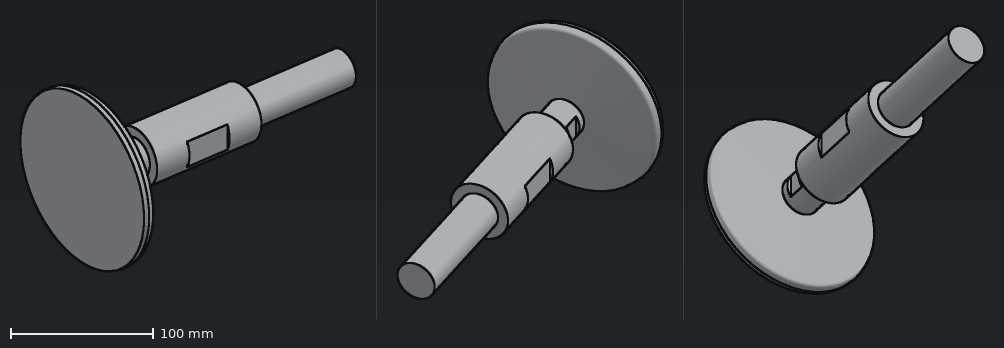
import cadquery as cq

total_length = 238.0

disc_diameter = 138.0
rim_draft = 0.7
widest_y = 4.0
rim_top_y = 7.1
cone_edge_y = 10.0
cone_edge_inset = 3.0
cone_top_y = 18.8

spindle_diameter = 30.0
spindle_flats_width = 24.0
spindle_flats_start = 25.2
spindle_flats_end = 40.0

sleeve_diameter = 46.0
sleeve_start = 49.5
sleeve_end = 145.0
sleeve_flats_width = 41.0
sleeve_flats_start = 79.0
sleeve_flats_end = 115.7


def cylinder(diameter, start_y, end_y):
    """Cylinder on the Y axis between two stations."""
    base = cq.Workplane("XZ", origin=(0, start_y, 0))
    return base.circle(diameter / 2).extrude(start_y - end_y)


def cut_wrench_flats(body, diameter, across_flats, start_y, end_y):
    """Cut a pair of flats facing -X and +X into a round body."""
    depth = (diameter - across_flats) / 2
    middle_y = (start_y + end_y) / 2
    for side in (-1, 1):
        cutter = cq.Workplane("XY").box(2 * depth, end_y - start_y, diameter)
        body = body.cut(cutter.translate((side * diameter / 2, middle_y, 0)))
    return body


def make_disc():
    """Conical disc with a slightly bulged rim and a rounded upper edge."""
    disc_radius = disc_diameter / 2
    rim_radius = disc_radius - rim_draft
    cone_edge_radius = disc_radius - cone_edge_inset
    spindle_radius = spindle_diameter / 2
    profile = (
        cq.Workplane("XY")
        .lineTo(0, cone_top_y)
        .lineTo(spindle_radius, cone_top_y)
        .lineTo(cone_edge_radius, cone_edge_y)
        .tangentArcPoint((rim_radius, rim_top_y), relative=False)
        .lineTo(disc_radius, widest_y)
        .lineTo(rim_radius, 0)
        .close()
    )
    return profile.revolve(360, (0, 0, 0), (0, 1, 0))


def make_foot():
    """Disc and spindle in one piece, with wrench flats just above the disc."""
    spindle = cylinder(spindle_diameter, cone_top_y, total_length)
    spindle = cut_wrench_flats(
        spindle, spindle_diameter, spindle_flats_width, spindle_flats_start, spindle_flats_end
    )
    return make_disc().union(spindle)


def make_sleeve():
    """Sleeve bored to fit the spindle, with wrench flats at mid-length."""
    sleeve = cylinder(sleeve_diameter, sleeve_start, sleeve_end)
    sleeve = sleeve.cut(cylinder(spindle_diameter, sleeve_start, sleeve_end))
    return cut_wrench_flats(
        sleeve, sleeve_diameter, sleeve_flats_width, sleeve_flats_start, sleeve_flats_end
    )


foot = make_foot()
sleeve = make_sleeve()

result = cq.Compound.makeCompound([foot.val(), sleeve.val()])